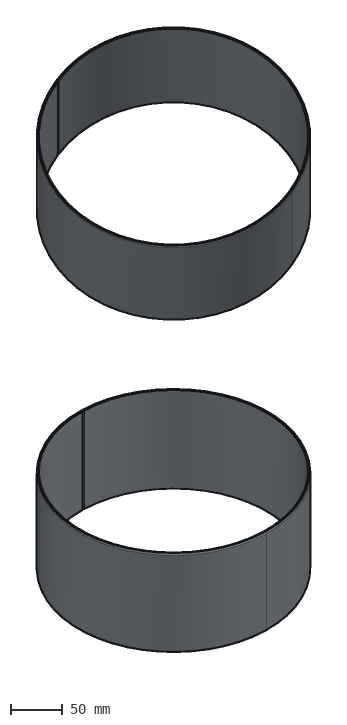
import cadquery as cq

outer_diameter = 265.0
height = 120.0
wall = 2.5
bevel_height = 2.0
bevel_depth = 0.65
inner_bevel = 0.4
slit_width = 2.0

outer_radius = outer_diameter / 2
inner_radius = outer_radius - wall


def make_band():
    """Thin ring centred on the origin, with steep outer and small inner bevels on both rims."""
    half_height = height / 2
    rim_radius = outer_radius - bevel_depth
    bevel_start = half_height - bevel_height
    section = [
        (inner_radius, inner_bevel - half_height),
        (inner_radius + inner_bevel, -half_height),
        (rim_radius, -half_height),
        (outer_radius, -bevel_start),
        (outer_radius, bevel_start),
        (rim_radius, half_height),
        (inner_radius + inner_bevel, half_height),
        (inner_radius, half_height - inner_bevel),
    ]
    return cq.Workplane("XZ").polyline(section).close().revolve(360, (0, 0), (0, 1))


def make_slit():
    """Full-height cut through the -X wall, with one face on the XZ plane."""
    block = cq.Workplane("XY").box(outer_radius, slit_width, height, centered=(False, False, True))
    return block.translate((-outer_radius, 0, 0))


result = make_band().cut(make_slit())